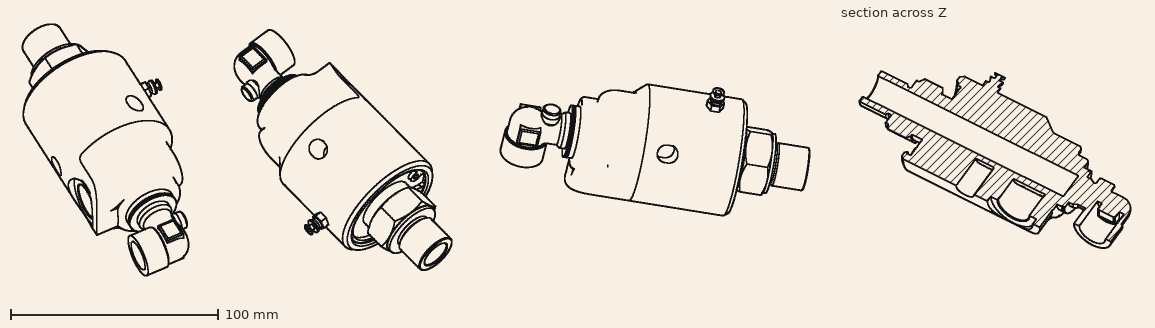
import cadquery as cq
import math


overlap = 1.0

thread_dia = 20.95
thread_chamfer = 0.4
thread_end = 15.0
undercut_start = 15.8
undercut_dia = 18.6
flange_start = 17.4
flange_dia = 29.0
hex_start = 19.0
hex_end = 32.0
hex_across_flats = 29.8
hex_chamfer_length = 1.4
collar_dia = 27.8
shaft_bore_dia = 13.89
shaft_bore_depth = 113.0
shaft_bore_chamfer = 0.4
core_dia = 21.4

body_start = 34.1
body_dia = 57.0
body_chamfer_length = 1.9
body_chamfer_height = 1.4
cone_start = 82.3
cone_end = 95.5
hub_dia = 35.2
hub_end = 113.1
hub_fillet = 2.0
hub_allowance = 2.5
neck_fillet = 4.0

mouth_dia = 49.0
mouth_chamfer = 0.9
recess_end = body_start + 3.5
ring_start = body_start + 1.5
ring_inner_dia = 44.2
ring_gap_half_angle = 15.0
lug_dia = 6.4
lug_hole_dia = 2.64
lug_y = -17.9
lug_z = 8.15

port_x = 96.0
port_lug_radius = 16.8
port_lug_half_width = 17.3
port_face_y = -25.3
port_face_dia = 25.4
port_bore_dia = 17.48
port_lug_fillet = 4.5
port_edge_chamfer = 0.4
boss_dia = 20.6
boss_start = 80.0
boss_top_y = 22.4
boss_edge_fillet = 2.0
boss_base_fillet = 1.5

weep_x = 70.7
weep_length = 10.0
weep_width = 8.6
weep_count = 3
weep_floor_dia = 20.0

nipple_x = 50.4
nipple_hex_flats = 7.2
nipple_hex_top = 31.5
nipple_neck_dia = 5.36
nipple_neck_y = 32.8
nipple_head_dia = 7.0
nipple_head_start = 34.2
nipple_head_top = 35.0
nipple_stem_dia = 2.64
nipple_cap_dia = 5.5
nipple_cap_start = 37.4
nipple_top = 37.91

cap_dia = 25.4
cap_groove_dia = 24.4
cap_groove_start = 115.6
cap_groove_end = 116.4
cap_end = 117.2

total_length = 146.52
socket_dia = 20.95
elbow_x = total_length - socket_dia / 2
elbow_collar_dia = 17.48
elbow_collar_end = 119.6
elbow_taper_end = 121.4
barrel_dia = 15.0
elbow_leg_radius = 9.5
elbow_bend_radius = 7.5
socket_face_y = -18.0
socket_top_y = -6.4
socket_chamfer = 0.5
socket_bore_dia = 14.6
socket_bore_end_y = -1.0
block_length = 10.0
block_y_min = -4.75
block_y_max = 4.2
block_half_height = 10.3
block_chamfer_width = 0.9
block_chamfer_height = 0.4
pad_width = 8.1
pad_height = 10.2
pad_thickness = 0.3
elbow_fillet = 1.5
stub_x = 126.9
stub_dia = 8.6
stub_top_y = 11.6
stub_chamfer = 0.6
stub_base_y = 6.0
stub_flare_start = 8.4
stub_flare_radius = 5.2


def turned(profile):
    """Revolve an (x, radius) outline about the X axis."""
    return cq.Workplane("XY").polyline(profile).close().revolve(360, (0, 0, 0), (1, 0, 0))


def cylinder_x(dia, start, end):
    return cq.Workplane("YZ", origin=(start, 0, 0)).circle(dia / 2).extrude(end - start)


def plane_y(x, y, z=0):
    """Work plane facing +Y, centred at the given point."""
    return cq.Workplane(cq.Plane(origin=(x, y, z), xDir=(1, 0, 0), normal=(0, 1, 0)))


def cylinder_y(dia, x, start, end):
    return plane_y(x, start).circle(dia / 2).extrude(end - start)


def turned_y(x, profile):
    """Revolve a (radius, y) outline about the line through x parallel to Y."""
    return cq.Workplane("XY", origin=(x, 0, 0)).polyline(profile).close().revolve(360, (0, 0, 0), (0, 1, 0))


def root_edges(solid, x_range, y_range, half_width):
    """Curved edges inside a box around the root of a side boss."""
    tolerance = 0.02
    found = []
    for edge in solid.edges().vals():
        box = edge.BoundingBox()
        in_x = x_range[0] - tolerance < box.xmin and box.xmax < x_range[1] + tolerance
        in_y = y_range[0] - tolerance < box.ymin and box.ymax < y_range[1] + tolerance
        in_z = max(abs(box.zmin), abs(box.zmax)) < half_width + tolerance
        if in_x and in_y and in_z and edge.geomType() in ("HYPERBOLA", "BSPLINE"):
            found.append(edge)
    return found


def make_shaft():
    thread_radius = thread_dia / 2
    shaft = turned([
        (0, 0),
        (0, thread_radius - thread_chamfer),
        (thread_chamfer, thread_radius),
        (thread_end, thread_radius),
        (undercut_start, undercut_dia / 2),
        (flange_start, undercut_dia / 2),
        (flange_start, flange_dia / 2),
        (hex_start, flange_dia / 2),
        (hex_start, collar_dia / 2),
        (recess_end, collar_dia / 2),
        (recess_end, 0),
    ])
    corner_radius = hex_across_flats / math.sqrt(3)
    hexagon = (
        cq.Workplane("YZ", origin=(hex_start, 0, 0))
        .polygon(6, 2 * corner_radius)
        .extrude(hex_end - hex_start)
    )
    flat_radius = hex_across_flats / 2
    chamfered = turned([
        (hex_start, 0),
        (hex_start, flat_radius),
        (hex_start + hex_chamfer_length, corner_radius),
        (hex_end - hex_chamfer_length, corner_radius),
        (hex_end, flat_radius),
        (hex_end, 0),
    ])
    return shaft.union(hexagon.intersect(chamfered))


def make_shaft_bore():
    bore_radius = shaft_bore_dia / 2
    return turned([
        (0, 0),
        (0, bore_radius + shaft_bore_chamfer),
        (shaft_bore_chamfer, bore_radius),
        (shaft_bore_depth, bore_radius),
        (shaft_bore_depth, 0),
    ])


def make_housing():
    body_radius = body_dia / 2
    hub_radius = hub_dia / 2
    housing = turned([
        (body_start, 0),
        (body_start, body_radius - body_chamfer_height),
        (body_start + body_chamfer_length, body_radius),
        (cone_start, body_radius),
        (cone_end, hub_radius),
        (hub_end + hub_allowance, hub_radius),
        (hub_end + hub_allowance, 0),
    ])
    neck_point = (cone_end, 0, 0)
    housing = housing.edges(cq.selectors.NearestToPointSelector(neck_point)).fillet(neck_fillet)
    housing = add_blind_boss(housing)
    lug = make_port_lug()
    housing = fillet_lug_root(housing.union(lug))
    housing = housing.cut(make_hub_trim()).union(lug)
    mouth_radius = mouth_dia / 2
    recess = turned([
        (body_start, 0),
        (body_start, mouth_radius),
        (body_start + mouth_chamfer, mouth_radius - mouth_chamfer),
        (ring_start, mouth_radius - mouth_chamfer),
        (ring_start, mouth_radius),
        (recess_end, mouth_radius),
        (recess_end, 0),
    ])
    return housing.cut(recess)


def make_port_lug():
    lug = (
        cq.Workplane("XZ")
        .moveTo(cone_start, -port_lug_half_width)
        .lineTo(port_x, -port_lug_half_width)
        .threePointArc((port_x + port_lug_radius, 0), (port_x, port_lug_half_width))
        .lineTo(cone_start, port_lug_half_width)
        .close()
        .extrude(body_dia)
    )
    return lug.intersect(cylinder_x(body_dia, body_start, hub_end))


def fillet_lug_root(housing):
    """Round the corner where the port lug meets the cone, neck and hub."""
    side_y = -math.sqrt((body_dia / 2) ** 2 - port_lug_half_width ** 2)
    x_range = (cone_start, port_x + port_lug_radius + hub_fillet)
    edges = root_edges(housing, x_range, (side_y, 0), port_lug_half_width)
    edges = [edge for edge in edges if edge.BoundingBox().ymax > side_y + overlap]
    return housing.newObject(edges).fillet(port_lug_fillet)


def make_hub_trim():
    """Material outside the rounded end of the hub."""
    hub_radius = hub_dia / 2
    round_start = hub_end - hub_fillet
    round_mid = hub_fillet * math.sqrt(0.5)
    trim_end = hub_end + 2 * hub_allowance
    return (
        cq.Workplane("XY")
        .moveTo(round_start, hub_radius)
        .threePointArc(
            (round_start + round_mid, hub_radius - hub_fillet + round_mid),
            (hub_end, hub_radius - hub_fillet),
        )
        .lineTo(hub_end, 0)
        .lineTo(trim_end, 0)
        .lineTo(trim_end, body_dia)
        .lineTo(round_start, body_dia)
        .close()
        .revolve(360, (0, 0, 0), (1, 0, 0))
    )


def add_blind_boss(housing):
    """Round-ended boss that runs back into the cone, rounded on its rim and root."""
    boss_radius = boss_dia / 2
    boss = (
        plane_y(port_x, 0)
        .moveTo(boss_start - port_x, -boss_radius)
        .lineTo(0, -boss_radius)
        .threePointArc((boss_radius, 0), (0, boss_radius))
        .lineTo(boss_start - port_x, boss_radius)
        .close()
        .extrude(boss_top_y)
    )
    rim = [edge for edge in boss.faces(">Y").edges().vals() if edge.BoundingBox().xmax > port_x - overlap]
    boss = boss.newObject(rim).fillet(boss_edge_fillet)
    housing = housing.union(boss)
    x_range = (cone_start, port_x + boss_radius)
    y_range = (0, boss_top_y - boss_edge_fillet)
    edges = root_edges(housing, x_range, y_range, boss_radius)
    return housing.newObject(edges).fillet(boss_base_fillet)


def make_retaining_ring():
    thickness = recess_end - ring_start
    ring = cylinder_x(mouth_dia, ring_start, recess_end).cut(
        cylinder_x(ring_inner_dia, ring_start, recess_end)
    )
    gap_y = -mouth_dia
    gap_z = mouth_dia * math.tan(math.radians(ring_gap_half_angle))
    gap = (
        cq.Workplane("YZ", origin=(ring_start, 0, 0))
        .polyline([(0, 0), (gap_y, gap_z), (gap_y, -gap_z)])
        .close()
        .extrude(thickness)
    )
    ring = ring.cut(gap)
    for side in (-1, 1):
        pad_plane = cq.Workplane("YZ", origin=(ring_start, lug_y, side * lug_z))
        bridge_length = mouth_dia / 2 - math.hypot(lug_y, lug_z)
        angle = math.degrees(math.atan2(side * lug_z, lug_y))
        pad = pad_plane.circle(lug_dia / 2).extrude(thickness)
        bridge = (
            pad_plane.transformed(rotate=(0, 0, angle))
            .center(bridge_length / 2, 0)
            .rect(bridge_length, lug_dia)
            .extrude(thickness)
        )
        pad = pad.union(bridge).intersect(cylinder_x(mouth_dia, ring_start, recess_end))
        ring = ring.union(pad).cut(pad_plane.circle(lug_hole_dia / 2).extrude(thickness))
    return ring


def make_port_cut():
    port = cylinder_y(port_face_dia, port_x, -body_dia, port_face_y)
    port = port.union(cylinder_y(port_bore_dia, port_x, -body_dia, 0))
    bore_radius = port_bore_dia / 2
    port_mouth = turned_y(port_x, [
        (0, port_face_y),
        (bore_radius + port_edge_chamfer, port_face_y),
        (bore_radius, port_face_y + port_edge_chamfer),
        (0, port_face_y + port_edge_chamfer),
    ])
    port = port.union(port_mouth)
    return port.cut(cylinder_x(core_dia, 0, total_length))


def make_weep_cuts():
    slot = plane_y(weep_x, -body_dia).slot2D(weep_length, weep_width).extrude(body_dia)
    slot = slot.cut(cylinder_x(weep_floor_dia, 0, total_length))
    cuts = slot
    for index in range(1, weep_count):
        cuts = cuts.union(slot.rotate((0, 0, 0), (1, 0, 0), index * 360 / weep_count))
    return cuts


def make_grease_nipple():
    base_y = body_dia / 2 - overlap
    hexagon = (
        plane_y(nipple_x, base_y)
        .polygon(6, 2 * nipple_hex_flats / math.sqrt(3))
        .extrude(nipple_hex_top - base_y)
    )
    neck_radius = nipple_neck_dia / 2
    head_radius = nipple_head_dia / 2
    stem_radius = nipple_stem_dia / 2
    cap_radius = nipple_cap_dia / 2
    head = turned_y(nipple_x, [
        (0, base_y),
        (neck_radius, base_y),
        (neck_radius, nipple_neck_y),
        (head_radius, nipple_head_start),
        (head_radius, nipple_head_top),
        (stem_radius, nipple_head_top),
        (stem_radius, nipple_cap_start),
        (cap_radius, nipple_cap_start),
        (cap_radius, nipple_top),
        (0, nipple_top),
    ])
    return hexagon.union(head)


def make_end_cap():
    cap_radius = cap_dia / 2
    groove_radius = cap_groove_dia / 2
    return turned([
        (hub_end - hub_fillet, 0),
        (hub_end - hub_fillet, cap_radius),
        (cap_groove_start, cap_radius),
        (cap_groove_start, groove_radius),
        (cap_groove_end, groove_radius),
        (cap_groove_end, cap_radius),
        (cap_end, cap_radius),
        (cap_end, 0),
    ])


def make_elbow():
    barrel_radius = barrel_dia / 2
    barrel = turned([
        (cap_end - overlap, 0),
        (cap_end - overlap, elbow_collar_dia / 2),
        (elbow_collar_end, elbow_collar_dia / 2),
        (elbow_taper_end, barrel_radius),
        (elbow_x, barrel_radius),
        (elbow_x, 0),
    ])
    bend_mid = elbow_bend_radius * math.sqrt(0.5)
    bend_center_x = elbow_leg_radius - elbow_bend_radius
    leg = (
        cq.Workplane("XY", origin=(elbow_x, 0, 0))
        .moveTo(0, socket_top_y)
        .lineTo(elbow_leg_radius, socket_top_y)
        .lineTo(elbow_leg_radius, 0)
        .threePointArc((bend_center_x + bend_mid, bend_mid), (bend_center_x, elbow_bend_radius))
        .lineTo(0, elbow_bend_radius)
        .close()
        .revolve(360, (0, 0, 0), (0, 1, 0))
    )
    tube = barrel.union(leg)
    tube = tube.edges("%BSPLINE").fillet(elbow_fillet)
    socket = cylinder_y(socket_dia, elbow_x, socket_face_y, socket_top_y)
    socket = socket.faces(">Y").edges().chamfer(socket_chamfer)
    stub_radius = stub_dia / 2
    stub = turned_y(stub_x, [
        (0, 0),
        (stub_flare_radius, 0),
        (stub_flare_radius, stub_base_y),
        (stub_radius, stub_flare_start),
        (stub_radius, stub_top_y - stub_chamfer),
        (stub_radius - stub_chamfer, stub_top_y),
        (0, stub_top_y),
    ])
    bore = cylinder_y(socket_bore_dia, elbow_x, socket_face_y, socket_bore_end_y)
    body = tube.union(socket).union(stub).cut(bore)
    return body.union(make_elbow_block())


def make_elbow_block():
    """Square wrench block with bevelled ends and a raised pad facing the socket bore."""
    block_width = block_y_max - block_y_min
    block_y = (block_y_max + block_y_min) / 2
    block = cq.Workplane("XY").box(block_length, block_width, 2 * block_half_height)
    block = block.faces("|Z").edges()
    block = block.chamfer(block_chamfer_height, block_chamfer_width)
    block = block.translate((elbow_x, block_y, 0))
    pad_plane = plane_y(elbow_x, block_y_min - pad_thickness)
    return block.union(pad_plane.rect(pad_width, pad_height).extrude(2 * pad_thickness))


result = make_housing()
result = result.cut(make_port_cut()).cut(make_weep_cuts())
result = result.union(make_shaft()).union(make_retaining_ring())
result = result.union(make_grease_nipple()).union(make_end_cap()).union(make_elbow())
result = result.cut(make_shaft_bore())